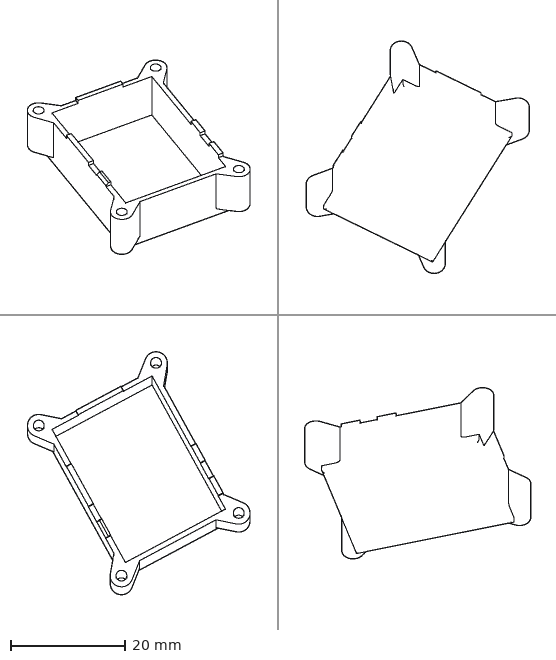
import cadquery as cq
import math

LENGTH = 34.35
WIDTH = 27.35
HEIGHT = 10.7

BOX_LENGTH = 28.7
BOX_WIDTH = 21.87
CAVITY_LENGTH = 26.92
CAVITY_WIDTH = 19.92
FLOOR_THICKNESS = 1.0
TAB_HEIGHT = 0.7
RIM_Z = HEIGHT - TAB_HEIGHT
BOTTOM_FILLET = 0.5

EAR_RADIUS = 2.0
EAR_REACH = 3.33
EAR_BOTTOM_Z = 1.5
EAR_X = LENGTH / 2 - EAR_RADIUS
EAR_Y = WIDTH / 2 - EAR_RADIUS
HOLE_DIAMETER = 1.9
HOLE_DEPTH = RIM_Z - EAR_BOTTOM_Z - FLOOR_THICKNESS

FRONT_TAB = (-6.42, 1.68)
FRONT_SNAP_TAB = (4.75, 8.05)
BACK_TABS = [(0.82, 4.22), (7.4, 10.8)]
LEFT_TAB = (-4.75, 4.25)
SNAP_CHAMFER = 0.5

FRONT_WALL = (-BOX_WIDTH / 2, -CAVITY_WIDTH / 2)
BACK_WALL = (CAVITY_WIDTH / 2, BOX_WIDTH / 2)
LEFT_WALL = (-BOX_LENGTH / 2, -CAVITY_LENGTH / 2)


def block(x_span, y_span, z_span):
    """Axis-aligned block between the given limits."""
    spans = (x_span, y_span, z_span)
    sizes = [end - start for start, end in spans]
    corner = tuple(start for start, end in spans)
    return cq.Workplane("XY").box(*sizes, centered=False).translate(corner)


def tangent_point(point, side):
    """Point where the tangent from `point` touches the ear circle; side is +1 or -1."""
    dx = point[0] - EAR_X
    dy = point[1] - EAR_Y
    angle = math.atan2(dy, dx) + side * math.acos(EAR_RADIUS / math.hypot(dx, dy))
    return (EAR_X + EAR_RADIUS * math.cos(angle), EAR_Y + EAR_RADIUS * math.sin(angle))


def make_ear():
    """Ear of the +X +Y corner: a round lug with straight faces tangent to it."""
    long_wall_point = (BOX_LENGTH / 2 - EAR_REACH, BOX_WIDTH / 2)
    end_wall_point = (BOX_LENGTH / 2, BOX_WIDTH / 2 - EAR_REACH)
    inner_corner = (long_wall_point[0], end_wall_point[1])
    diagonal = math.hypot(EAR_X - inner_corner[0], EAR_Y - inner_corner[1])
    tip = tuple(
        center + EAR_RADIUS * (center - inner) / diagonal
        for center, inner in zip((EAR_X, EAR_Y), inner_corner)
    )
    return (
        cq.Workplane("XY", origin=(0, 0, EAR_BOTTOM_Z))
        .moveTo(*inner_corner)
        .lineTo(*end_wall_point)
        .lineTo(*tangent_point(end_wall_point, 1))
        .threePointArc(tip, tangent_point(long_wall_point, -1))
        .lineTo(*long_wall_point)
        .close()
        .extrude(RIM_Z - EAR_BOTTOM_Z)
        .faces("<Z")
        .edges()
        .fillet(BOTTOM_FILLET)
    )


def make_tabs():
    """Raised tabs on the rim; they start at the floor so that they merge with the walls."""
    heights = (FLOOR_THICKNESS, HEIGHT)
    snap_tab = block(FRONT_SNAP_TAB, FRONT_WALL, heights)
    snap_tab = snap_tab.faces("<Y").edges(">Z").chamfer(SNAP_CHAMFER)
    tabs = [
        snap_tab,
        block(FRONT_TAB, FRONT_WALL, heights),
        block(LEFT_WALL, LEFT_TAB, heights),
    ]
    tabs += [block(span, BACK_WALL, heights) for span in BACK_TABS]
    return tabs


body = cq.Workplane("XY").box(BOX_LENGTH, BOX_WIDTH, RIM_Z, centered=(True, True, False))
body = body.faces("<Z").edges().fillet(BOTTOM_FILLET)

ear = make_ear()
ear_pair = ear.union(ear.mirror("YZ"))
body = body.union(ear_pair).union(ear_pair.mirror("XZ"))

cavity = cq.Workplane("XY", origin=(0, 0, FLOOR_THICKNESS))
body = body.cut(cavity.rect(CAVITY_LENGTH, CAVITY_WIDTH).extrude(RIM_Z))

holes = (
    cq.Workplane("XY", origin=(0, 0, RIM_Z))
    .rect(2 * EAR_X, 2 * EAR_Y, forConstruction=True)
    .vertices()
    .circle(HOLE_DIAMETER / 2)
    .extrude(-HOLE_DEPTH)
)
body = body.cut(holes)

for tab in make_tabs():
    body = body.union(tab)

result = body